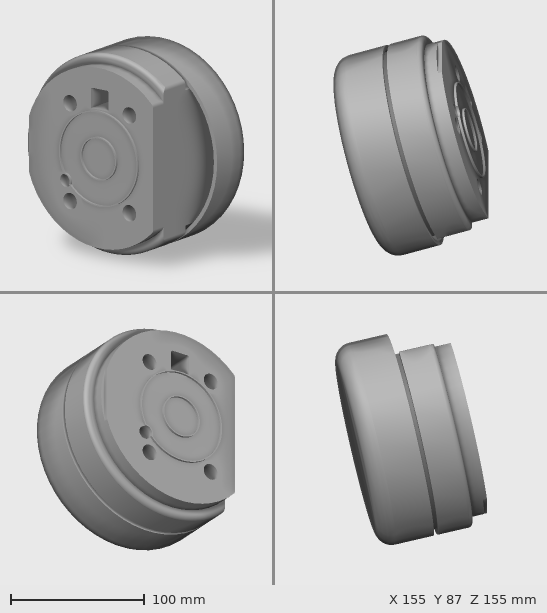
import cadquery as cq
import math

outer_radius = 77.5
cap_length = 41.8
cap_edge_fillet = 12.9
cap_wall = 3.1
cavity_radius = outer_radius - cap_wall
rounding_center_radius = outer_radius - cap_edge_fillet
rounding_radius = cap_edge_fillet - cap_wall
cavity_floor_radius = 57.5


def rounding_depth(radius):
    """Distance from the back of the cap to its inner rounding at the given radius."""
    return cap_edge_fillet - math.sqrt(rounding_radius**2 - (radius - rounding_center_radius) ** 2)


cavity_floor = rounding_depth(cavity_floor_radius)

neck_radius = 72.5
neck_back = rounding_depth(neck_radius)
gap_between_cap_and_disc = 3.4
disc_back = cap_length + gap_between_cap_and_disc
disc_front = 72.2
disc_edge_fillet = 3.5
plate_radius = 70.0
plate_front = 85.1
base_length = plate_front - neck_back
side_flat_x = 50.0
side_corner_fillet = disc_edge_fillet

step_flat_x = -66.6
step_depth = 3.1

ridge_height = 1.9
ridge_width = 1.0
outer_ridge_radius = 37.0
inner_ridge_radius = 16.7

screw_hole_radius = 6.4
screw_hole_x = 27.9
screw_hole_z = 38.0
pin_hole_radius = 5.1
pin_hole_x = -32.1
pin_hole_z = -22.5
window_width = 16.5
window_bottom_z = 37.7
window_top_z = 53.6
window_corner_radius = 1.4


def plane_at(distance):
    """XZ plane whose extrusions run towards -Y from the given distance."""
    return cq.Workplane("XZ", origin=(0, -distance, 0))


def cylinder(radius, start, end, x=0.0, z=0.0):
    return plane_at(start).center(x, z).circle(radius).extrude(end - start)


def make_cap():
    block = cylinder(outer_radius, 0, cap_length).faces(">Y").edges().fillet(cap_edge_fillet)
    cavity = (
        cq.Workplane("XY")
        .moveTo(0, -cap_length)
        .lineTo(cavity_radius, -cap_length)
        .lineTo(cavity_radius, -cap_edge_fillet)
        .threePointArc((rounding_center_radius, -cap_wall), (cavity_floor_radius, -cavity_floor))
        .lineTo(0, -cavity_floor)
        .close()
        .revolve(360, (0, 0, 0), (0, 1, 0))
    )
    return block.cut(cavity)


def make_ridge(radius):
    """Ring ridge that bends inward around the pin hole wherever the two meet."""
    top = plate_front + ridge_height
    body = cylinder(radius, plate_front, top)
    body = body.cut(cylinder(pin_hole_radius, plate_front, top, pin_hole_x, pin_hole_z))
    inside = cylinder(radius - ridge_width, plate_front, top)
    inside = inside.cut(
        cylinder(pin_hole_radius + ridge_width, plate_front, top, pin_hole_x, pin_hole_z)
    )
    return body.cut(inside)


def cut_side_flat(body):
    width = outer_radius - side_flat_x
    cutter = (
        plane_at(neck_back)
        .center(side_flat_x + width / 2, 0)
        .rect(width, 2 * outer_radius)
        .extrude(base_length)
    )
    return body.cut(cutter)


def flatted_cylinder(radius, start, end):
    """Cylinder with the side flat and rounded corners where the flat meets the curved side."""
    body = cut_side_flat(cylinder(radius, start, end))
    return body.faces(">X").edges("|Y").fillet(side_corner_fillet)


def make_neck():
    """Neck of the base; it enters the cap until its back edge rests on the inner rounding."""
    return cut_side_flat(cylinder(neck_radius, neck_back, disc_back))


def make_disc():
    """Disc with a rounded front rim; the rim rounding leaves the side flat whole."""
    disc = cylinder(outer_radius, disc_back, disc_front).faces("<Y").edges().fillet(disc_edge_fillet)
    return disc.intersect(flatted_cylinder(outer_radius, disc_back, disc_front))


def make_step_cutter():
    width = outer_radius + step_flat_x
    return (
        plane_at(plate_front - step_depth)
        .center(step_flat_x - width / 2, 0)
        .rect(width, 2 * outer_radius)
        .extrude(step_depth)
    )


def make_hole_cutters():
    corners = [(x, z) for x in (-screw_hole_x, screw_hole_x) for z in (-screw_hole_z, screw_hole_z)]
    screw_holes = plane_at(neck_back).pushPoints(corners).circle(screw_hole_radius).extrude(base_length)
    pin_hole = cylinder(pin_hole_radius, neck_back, plate_front, pin_hole_x, pin_hole_z)
    return screw_holes.union(pin_hole)


def make_window_cutter():
    """Square opening with its two upper corners rounded."""
    height = window_top_z - window_bottom_z
    block = (
        plane_at(neck_back)
        .center(0, window_bottom_z + height / 2)
        .rect(window_width, height)
        .extrude(base_length)
    )
    return block.faces(">Z").edges("|Y").fillet(window_corner_radius)


def make_base():
    plate = flatted_cylinder(plate_radius, disc_front, plate_front).cut(make_step_cutter())
    base = make_neck().union(make_disc()).union(plate)
    base = base.cut(make_hole_cutters()).cut(make_window_cutter())
    for radius in (outer_ridge_radius, inner_ridge_radius):
        base = base.union(make_ridge(radius))
    return base


cap = make_cap()
base = make_base()

result = cq.Compound.makeCompound([cap.val(), base.val()])